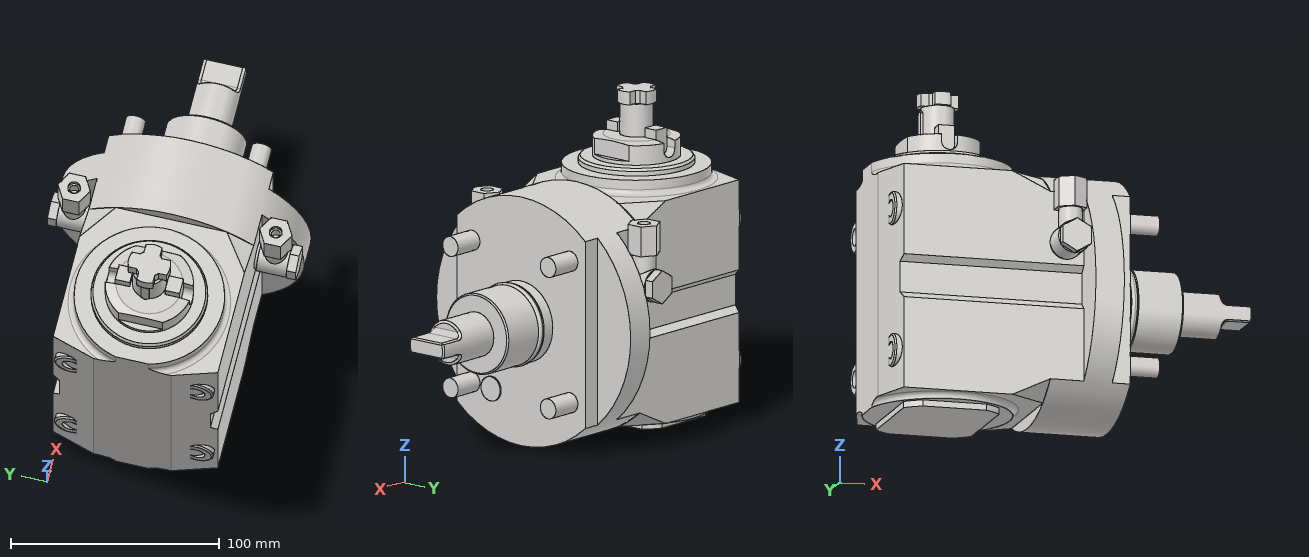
import cadquery as cq
import math

OVERALL_LENGTH = 189.0
OVERALL_HEIGHT = 161.0

BODY_FRONT = -35.2
BODY_WIDTH = 81.3
BODY_HEIGHT = 110.2
FRONT_FACE_WIDTH = 38.2
FRONT_BEVEL_LENGTH = 6.8
SIDE_GROOVE_MOUTH = 21.2
SIDE_GROOVE_FLOOR = 15.1
SIDE_GROOVE_DEPTH = 3.4

FLANGE_DIAMETER = 123.0
FLANGE_START = 44.6
DISC_START = 61.2
DISC_END = 75.5
FLANGE_END = 84.5

COLLAR_RADIUS = 36.1
COLLAR_FILLET = 2.8
TOP_COLLAR_HEIGHT = 7.5
BOTTOM_COLLAR_HEIGHT = 3.0
BOTTOM_PLATE_HEIGHT = 3.0
BOTTOM_PLATE_DIAMETER = 67.7
BOTTOM_PLATE_LENGTH = 47.6
BOTTOM_PLATE_WIDTH = 59.7

STEP_RADIUS = 28.0
STEP_HEIGHT = 3.5
STEP_CHAMFER_RADIAL = 1.0
STEP_CHAMFER_AXIAL = 1.3
NUT_RADIUS = 21.2
NUT_BASE_HEIGHT = 1.9
NUT_HEIGHT = 10.5
NUT_FLAT_WIDTH = 36.3
NUT_TOP_RADIUS = 16.0
NUT_BEVEL_HEIGHT = 1.0
DRIVE_KEY_WIDTH = 8.0
DRIVE_KEY_START = 8.7
DRIVE_KEY_REACH = 15.9
DRIVE_KEY_HEIGHT = 4.7
DRIVE_SLOT_DEPTH = 8.5
ARBOR_RADIUS = 8.1
HEAD_RADIUS = 10.2
HEAD_HEIGHT = 6.5
HEAD_ARM_WIDTH = 8.0
HEAD_CORNER_CHAMFER = 1.5
FEATHER_WIDTH = 4.0
FEATHER_LENGTH = 14.4
FEATHER_PROJECTION = 1.04
FEATHER_TOP_GAP = 1.1
FEATHER_END_TAPER = 1.7

PILOT_RADIUS = 20.0
SHANK_RADIUS = 19.8
SHANK_END = 117.2
SHANK_CHAMFER = 0.8
SEAL_GROOVE_START = 90.7
SEAL_GROOVE_WIDTH = 4.0
SEAL_GROOVE_DEPTH = 1.7
SEAL_SECTION_RADIUS = 1.42
SEAL_RADIUS = 20.6
SHAFT_RADIUS = 11.0
TANG_START = 139.5
TANG_THICKNESS = 8.0
TANG_FILLET = 2.6
TANG_CHAMFER = 0.8
TANG_BEVEL_ON_FACE = 1.3
TANG_BEVEL_ON_SIDE = 0.5

COOLANT_SEAL_Y = -18.7
COOLANT_SEAL_Z = -36.3
COOLANT_SEAL_RADIUS = 6.0
COOLANT_SEAL_PROJECTION = 0.8

SCREW_OFFSET_Y = 31.0
SCREW_OFFSET_Z = 35.0
SCREW_HEAD_RADIUS = 8.1
SCREW_HEAD_FRONT = -32.3
SCREW_HEAD_LENGTH = 11.3
SCREW_HEAD_CHAMFER = 0.8
SCREW_SOCKET_RADIUS = 4.2
SCREW_SOCKET_DEPTH = 5.7
SCREW_SHANK_RADIUS = 5.0
SCREW_END = 100.5

ELBOW_X = 52.0
ELBOW_Z = 20.8
ELBOW_BARREL_RADIUS = 8.0
ELBOW_SEAT_RADIUS = 7.2
ELBOW_SEAT_END = 42.0
ELBOW_BARREL_END = 56.7
ELBOW_TIP = 61.2
PLUG_HEX_DIAMETER = 16.5
NOZZLE_Y = 49.7
NOZZLE_NECK_RADIUS = 5.7
NOZZLE_HEX_DIAMETER = 16.0
NOZZLE_HEX_BOTTOM = 36.0
NOZZLE_HEX_TOP = 50.7
NOZZLE_BORE_RADIUS = 3.0
NOZZLE_BORE_STEP_DEPTH = 1.9
NOZZLE_INNER_BORE_RADIUS = 2.0
NOZZLE_INNER_BORE_DEPTH = 7.5

flange_radius = FLANGE_DIAMETER / 2
half_width = BODY_WIDTH / 2
body_top = BODY_HEIGHT / 2
tang_end = BODY_FRONT + OVERALL_LENGTH
collar_top = body_top + TOP_COLLAR_HEIGHT
nut_bottom = collar_top + STEP_HEIGHT
nut_top = nut_bottom + NUT_HEIGHT
head_top = OVERALL_HEIGHT - flange_radius
head_bottom = head_top - HEAD_HEIGHT


def disc_x(radius, x_start, x_end, y=0, z=0):
    """Cylinder along X between two stations."""
    return cq.Workplane("YZ", origin=(x_start, y, z)).circle(radius).extrude(x_end - x_start)


def disc_z(radius, z_start, z_end, x=0, y=0):
    """Cylinder along Z between two levels."""
    return cq.Workplane("XY", origin=(x, y, z_start)).circle(radius).extrude(z_end - z_start)


def housing_prism(z_start, z_end):
    """Bevelled housing outline, run into the full flange disc."""
    bevel_end = BODY_FRONT + FRONT_BEVEL_LENGTH
    half_face = FRONT_FACE_WIDTH / 2
    outline = [
        (BODY_FRONT, -half_face),
        (bevel_end, -half_width),
        (DISC_START, -half_width),
        (DISC_START, half_width),
        (bevel_end, half_width),
        (BODY_FRONT, half_face),
    ]
    return cq.Workplane("XY", origin=(0, 0, z_start)).polyline(outline).close().extrude(z_end - z_start)


def corner_cutter(side, level):
    """Tetrahedron that slopes one housing corner down to the flange rim."""
    rim_z = math.sqrt(flange_radius**2 - half_width**2)
    rim_y = math.sqrt(flange_radius**2 - body_top**2)
    slope_length = 18.9
    corner = cq.Vector(FLANGE_START, side * half_width, level * body_top)
    along_edge = cq.Vector(FLANGE_START - slope_length, side * half_width, level * body_top)
    across = cq.Vector(FLANGE_START, side * rim_y, level * body_top)
    down = cq.Vector(FLANGE_START, side * half_width, level * rim_z)
    triangles = [
        (corner, along_edge, across),
        (corner, across, down),
        (corner, down, along_edge),
        (along_edge, down, across),
    ]
    faces = [cq.Face.makeFromWires(cq.Wire.makePolygon(list(t), close=True)) for t in triangles]
    return cq.Workplane(cq.Solid.makeSolid(cq.Shell.makeShell(faces)))


def make_housing():
    """Housing block ahead of the flange."""
    block = housing_prism(-body_top, body_top)
    front_part = cq.Workplane("XY").box(
        FLANGE_START - BODY_FRONT, BODY_WIDTH, BODY_HEIGHT, centered=(False, True, True)
    )
    block = block.intersect(front_part.translate((BODY_FRONT, 0, 0)))
    for side in (-1, 1):
        for level in (-1, 1):
            block = block.cut(corner_cutter(side, level))
    return block


def make_flange():
    """Round flange, cut to the housing width except for its full disc."""
    flat_sided = disc_x(flange_radius, FLANGE_START, FLANGE_END)
    flat_sided = flat_sided.intersect(
        cq.Workplane("XY").box(2 * FLANGE_END, BODY_WIDTH, FLANGE_DIAMETER)
    )
    return flat_sided.union(disc_x(flange_radius, DISC_START, DISC_END))


def side_groove(side):
    """Trapezoidal groove along one side, ending at the flange disc."""
    section = [
        (side * half_width, SIDE_GROOVE_MOUTH / 2),
        (side * (half_width - SIDE_GROOVE_DEPTH), SIDE_GROOVE_FLOOR / 2),
        (side * (half_width - SIDE_GROOVE_DEPTH), -SIDE_GROOVE_FLOOR / 2),
        (side * half_width, -SIDE_GROOVE_MOUTH / 2),
    ]
    plane = cq.Workplane("YZ", origin=(BODY_FRONT, 0, 0))
    return plane.polyline(section).close().extrude(DISC_START - BODY_FRONT)


def make_collar(height):
    """Round collar on top of the housing with a hollow fillet at its foot."""
    fillet_rest = COLLAR_FILLET * (1 - math.sqrt(0.5))
    collar = (
        cq.Workplane("XZ")
        .moveTo(0, 0)
        .lineTo(0, body_top + height)
        .lineTo(COLLAR_RADIUS, body_top + height)
        .lineTo(COLLAR_RADIUS, body_top + COLLAR_FILLET)
        .threePointArc(
            (COLLAR_RADIUS + fillet_rest, body_top + fillet_rest),
            (COLLAR_RADIUS + COLLAR_FILLET, body_top),
        )
        .lineTo(COLLAR_RADIUS + COLLAR_FILLET, 0)
        .close()
        .revolve(360, (0, 0), (0, 1))
    )
    return collar.intersect(housing_prism(0, body_top + height))


def make_bottom_plate():
    """Round cover plate with four flats under the bottom collar."""
    plate_top = -body_top - BOTTOM_COLLAR_HEIGHT
    plate_bottom = plate_top - BOTTOM_PLATE_HEIGHT
    plate = disc_z(BOTTOM_PLATE_DIAMETER / 2, plate_bottom, plate_top)
    return plate.intersect(
        cq.Workplane("XY").box(BOTTOM_PLATE_LENGTH, BOTTOM_PLATE_WIDTH, FLANGE_DIAMETER)
    )


def make_nut():
    """Stepped ring and clamping nut with wrench flats and drive slots."""
    nut_base_top = nut_bottom + NUT_BASE_HEIGHT
    profile = [
        (0, body_top),
        (STEP_RADIUS, body_top),
        (STEP_RADIUS, nut_bottom - STEP_CHAMFER_AXIAL),
        (STEP_RADIUS - STEP_CHAMFER_RADIAL, nut_bottom),
        (NUT_RADIUS, nut_bottom),
        (NUT_RADIUS, nut_top - NUT_BEVEL_HEIGHT),
        (NUT_TOP_RADIUS, nut_top),
        (0, nut_top),
    ]
    nut = cq.Workplane("XZ").polyline(profile).close().revolve(360, (0, 0), (0, 1))
    flat_depth = NUT_RADIUS - NUT_FLAT_WIDTH / 2
    flat_cutter = cq.Workplane("XY").box(
        flat_depth, 2 * NUT_RADIUS, NUT_HEIGHT, centered=(True, True, False)
    )
    for side in (-1, 1):
        nut = nut.cut(flat_cutter.translate((side * (NUT_RADIUS - flat_depth / 2), 0, nut_base_top)))
    for side in (-1, 1):
        nut = nut.cut(drive_slot(side))
    return nut


def drive_slot(side):
    """Round-bottomed slot in the nut rim, outside a drive key."""
    slot_length = NUT_RADIUS - DRIVE_KEY_REACH
    half_key = DRIVE_KEY_WIDTH / 2
    slot_bottom = nut_top - DRIVE_SLOT_DEPTH
    outline = (
        cq.Workplane("XZ", origin=(0, side * (DRIVE_KEY_REACH + slot_length / 2), 0))
        .moveTo(-half_key, nut_top)
        .lineTo(-half_key, slot_bottom + half_key)
        .threePointArc((0, slot_bottom), (half_key, slot_bottom + half_key))
        .lineTo(half_key, nut_top)
        .close()
    )
    return outline.extrude(slot_length / 2, both=True)


def make_arbor():
    """Spindle arbor with drive keys, feather key and cross-shaped head."""
    arbor = disc_z(ARBOR_RADIUS, body_top, head_bottom)
    key_length = DRIVE_KEY_REACH - DRIVE_KEY_START
    key_middle = DRIVE_KEY_START + key_length / 2
    drive_keys = (
        cq.Workplane("XY", origin=(0, 0, body_top))
        .pushPoints([(0, -key_middle), (0, key_middle)])
        .rect(DRIVE_KEY_WIDTH, key_length)
        .extrude(nut_top + DRIVE_KEY_HEIGHT - body_top)
    )

    feather_top = head_bottom - FEATHER_TOP_GAP
    half_feather = FEATHER_WIDTH / 2
    feather_outline = [
        (0, feather_top),
        (half_feather, feather_top - FEATHER_END_TAPER),
        (half_feather, feather_top - FEATHER_LENGTH + FEATHER_END_TAPER),
        (0, feather_top - FEATHER_LENGTH),
        (-half_feather, feather_top - FEATHER_LENGTH + FEATHER_END_TAPER),
        (-half_feather, feather_top - FEATHER_END_TAPER),
    ]
    feather_face = -ARBOR_RADIUS - FEATHER_PROJECTION
    feather = cq.Workplane("YZ", origin=(feather_face, 0, 0)).polyline(feather_outline).close()
    return arbor.union(feather.extrude(ARBOR_RADIUS)).union(make_head()).union(drive_keys)


def make_head():
    """Cross with round arm ends and chamfered inner corners."""
    cross = cq.Workplane("XY", origin=(0, 0, head_bottom))
    arm_x = cross.rect(2 * HEAD_RADIUS, HEAD_ARM_WIDTH).extrude(HEAD_HEIGHT)
    arm_y = cross.rect(HEAD_ARM_WIDTH, 2 * HEAD_RADIUS).extrude(HEAD_HEIGHT)
    core_side = (HEAD_ARM_WIDTH + HEAD_CORNER_CHAMFER) * math.sqrt(2)
    core = cross.transformed(rotate=(0, 0, 45)).rect(core_side, core_side).extrude(HEAD_HEIGHT)
    return arm_x.union(arm_y).union(core).intersect(disc_z(HEAD_RADIUS, head_bottom, head_top))


def make_shank():
    """Shank with seal ring, followed by the drive shaft and its flat tang."""
    pilot = disc_x(PILOT_RADIUS, DISC_END, SEAL_GROOVE_START)
    groove_end = SEAL_GROOVE_START + SEAL_GROOVE_WIDTH
    groove_floor = disc_x(PILOT_RADIUS - SEAL_GROOVE_DEPTH, SEAL_GROOVE_START, groove_end)
    shank = disc_x(SHANK_RADIUS, groove_end, SHANK_END).faces(">X").chamfer(SHANK_CHAMFER)
    shank = shank.union(groove_floor).union(pilot)
    seal = cq.Solid.makeTorus(
        SEAL_RADIUS - SEAL_SECTION_RADIUS,
        SEAL_SECTION_RADIUS,
        cq.Vector(SEAL_GROOVE_START + SEAL_GROOVE_WIDTH / 2, 0, 0),
        cq.Vector(1, 0, 0),
    )
    shaft = disc_x(SHAFT_RADIUS, DISC_END, tang_end).faces(">X").chamfer(TANG_CHAMFER)
    for level in (-1, 1):
        shaft = shaft.cut(tang_cutter(level))
    shaft = shaft.faces("|Z").edges("|X").chamfer(TANG_BEVEL_ON_SIDE, TANG_BEVEL_ON_FACE)
    shaft = shaft.faces(">X").edges("|Y").chamfer(TANG_CHAMFER)
    return shank.union(cq.Workplane(seal)).union(shaft)


def tang_cutter(level):
    """Material removed above or below the tang, with a round inner corner."""
    cutter_height = SHAFT_RADIUS - TANG_THICKNESS / 2
    cutter = (
        cq.Workplane("XY")
        .box(tang_end - TANG_START, 2 * SHAFT_RADIUS, cutter_height, centered=(False, True, True))
        .edges("|Y and <X")
        .edges(">Z" if level < 0 else "<Z")
        .fillet(TANG_FILLET)
    )
    return cutter.translate((TANG_START, 0, level * (SHAFT_RADIUS - cutter_height / 2)))


def make_screw(y, z):
    """Ring-shaped screw head on the front bevel and screw end past the flange."""
    head = disc_x(SCREW_HEAD_RADIUS, SCREW_HEAD_FRONT, SCREW_HEAD_FRONT + SCREW_HEAD_LENGTH, y, z)
    head = head.faces("<X").chamfer(SCREW_HEAD_CHAMFER)
    socket_end = SCREW_HEAD_FRONT + SCREW_SOCKET_DEPTH
    socket = disc_x(SCREW_SOCKET_RADIUS, SCREW_HEAD_FRONT, socket_end, y, z)
    return head.cut(socket).union(disc_x(SCREW_SHANK_RADIUS, FLANGE_START, SCREW_END, y, z))


def make_elbow():
    """Coolant elbow on the +Y side: plugged barrel with an upright hex nozzle."""
    base = cq.Workplane("XZ", origin=(ELBOW_X, 0, ELBOW_Z))
    seat = base.circle(ELBOW_SEAT_RADIUS).extrude(-ELBOW_SEAT_END)
    barrel = (
        base.workplane(offset=-ELBOW_SEAT_END)
        .circle(ELBOW_BARREL_RADIUS)
        .extrude(ELBOW_SEAT_END - ELBOW_BARREL_END)
    )
    plug = (
        base.workplane(offset=-ELBOW_BARREL_END)
        .transformed(rotate=(0, 0, 90))
        .polygon(6, PLUG_HEX_DIAMETER)
        .extrude(ELBOW_BARREL_END - ELBOW_TIP)
    )
    neck = disc_z(NOZZLE_NECK_RADIUS, ELBOW_Z, NOZZLE_HEX_BOTTOM, ELBOW_X, NOZZLE_Y)
    nozzle = (
        cq.Workplane("XY", origin=(ELBOW_X, NOZZLE_Y, NOZZLE_HEX_BOTTOM))
        .transformed(rotate=(0, 0, 90))
        .polygon(6, NOZZLE_HEX_DIAMETER)
        .extrude(NOZZLE_HEX_TOP - NOZZLE_HEX_BOTTOM)
        .faces(">Z")
        .workplane()
        .cboreHole(
            2 * NOZZLE_INNER_BORE_RADIUS,
            2 * NOZZLE_BORE_RADIUS,
            NOZZLE_BORE_STEP_DEPTH,
            NOZZLE_INNER_BORE_DEPTH,
        )
    )
    return seat.union(barrel).union(plug).union(neck).union(nozzle)


result = make_housing().union(make_flange())

result = result.union(make_collar(TOP_COLLAR_HEIGHT))
result = result.union(make_collar(BOTTOM_COLLAR_HEIGHT).mirror("XY"))
result = result.union(make_bottom_plate())
result = result.union(make_nut()).union(make_arbor()).union(make_shank())

for groove_side in (-1, 1):
    result = result.cut(side_groove(groove_side))

for screw_y in (-SCREW_OFFSET_Y, SCREW_OFFSET_Y):
    for screw_z in (-SCREW_OFFSET_Z, SCREW_OFFSET_Z):
        result = result.union(make_screw(screw_y, screw_z))

coolant_seal_end = FLANGE_END + COOLANT_SEAL_PROJECTION
result = result.union(
    disc_x(COOLANT_SEAL_RADIUS, DISC_END, coolant_seal_end, COOLANT_SEAL_Y, COOLANT_SEAL_Z)
)

elbow = make_elbow()
result = result.union(elbow).union(elbow.mirror("XZ"))